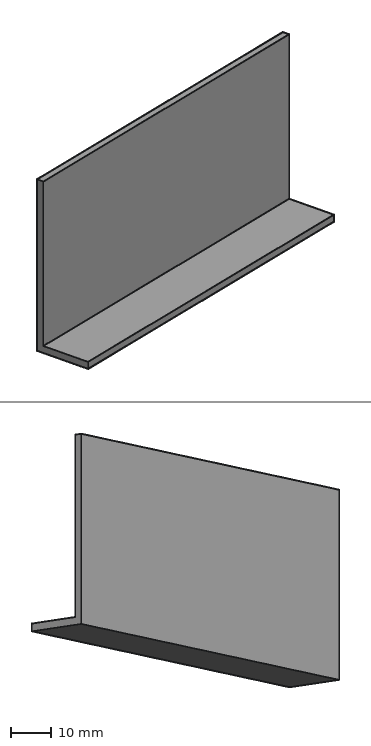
import cadquery as cq

length = 100
base_width = 16
wall_height = 48
thickness = 2

section = [
    (0, 0),
    (base_width, 0),
    (base_width, thickness),
    (thickness, thickness),
    (thickness, wall_height),
    (0, wall_height),
]

result = cq.Workplane("XZ").polyline(section).close().extrude(-length)